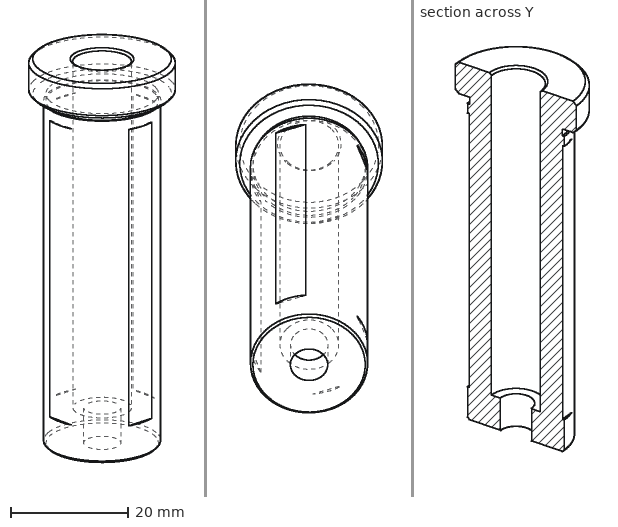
import cadquery as cq
import math

total_length = 69.85
flange_diameter = 25.0
flange_thickness = 6.3
flange_chamfer = 0.7

shank_diameter = 20.0
shank_chamfer = 0.4
neck_diameter = 19.2
neck_length = 1.25

flat_count = 4
flat_width = 5.4
flat_bottom = 6.4
flat_top = 60.35

socket_diameter = 10.0
socket_floor = flat_bottom
socket_chamfer = 0.4
through_diameter = 6.35

flange_bottom = total_length - flange_thickness
neck_bottom = flange_bottom - neck_length
shank_radius = shank_diameter / 2
flat_distance = math.sqrt(shank_radius**2 - (flat_width / 2) ** 2)


def cylinder(diameter, bottom, top):
    """Vertical cylinder on the part axis between two heights."""
    return cq.Workplane("XY", origin=(0, 0, bottom)).circle(diameter / 2).extrude(top - bottom)


def make_body():
    """Chamfered shank, undercut neck and chamfered flange."""
    shank = cylinder(shank_diameter, 0, neck_bottom).faces("<Z").chamfer(shank_chamfer)
    neck = cylinder(neck_diameter, neck_bottom, flange_bottom)
    flange = cylinder(flange_diameter, flange_bottom, total_length)
    flange = flange.faces("<Z or >Z").chamfer(flange_chamfer)
    return shank.union(neck).union(flange)


def cut_flats(body):
    """Mill equally spaced flats into the side of the shank."""
    cutter = (
        cq.Workplane("XY", origin=(flat_distance, 0, flat_bottom))
        .rect(shank_radius, shank_diameter)
        .extrude(flat_top - flat_bottom)
        .translate((shank_radius / 2, 0, 0))
    )
    for index in range(flat_count):
        angle = index * 360 / flat_count
        body = body.cut(cutter.rotate((0, 0, 0), (0, 0, 1), angle))
    return body


def cut_bore(body):
    """Cut the through hole and the socket with its chamfered mouth."""
    mouth_radius = socket_diameter / 2 + socket_chamfer
    mouth = (
        cq.Workplane("XY", origin=(0, 0, total_length))
        .circle(mouth_radius)
        .workplane(offset=-socket_chamfer)
        .circle(socket_diameter / 2)
        .loft()
    )
    body = body.cut(cylinder(through_diameter, 0, total_length))
    return body.cut(cylinder(socket_diameter, socket_floor, total_length)).cut(mouth)


result = cut_bore(cut_flats(make_body()))